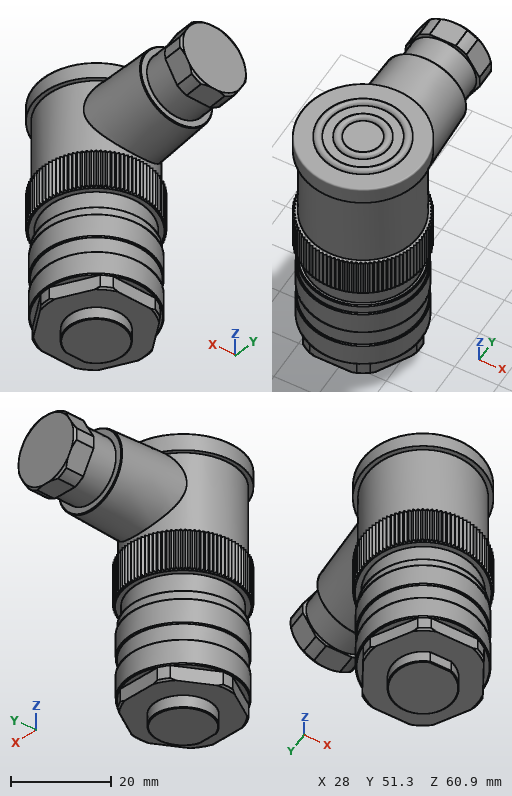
import cadquery as cq
import math

TOTAL_HEIGHT = 60.9
CAP_FACE_Z = 60.2
CAP_BOTTOM_Z = 56.3
KNURL_TOP_Z = 37.6
KNURL_BOTTOM_Z = 28.25
GRIP_TOP_Z = 23.9
UPPER_BAND_TOP_Z = 21.8
GRIP_BAND_HEIGHT = 5.9
GRIP_BAND_PITCH = 9.6
HEX_BOTTOM_Z = 2.9

CAP_RADIUS = 14.0
CAP_EDGE_FILLET = 0.35
TUBE_RADIUS = 13.0
CORE_RADIUS = 10.95

CAP_RING_RADII = (5.05, 9.0)
CAP_RING_HALF_WIDTH = 0.9

KNURL_RADIUS = CAP_RADIUS
KNURL_TEETH = 94
KNURL_DEPTH = 0.5
FIRST_TOOTH_ANGLE = -math.pi / 4
KNURL_CHAMFER = 0.5
NECK_RADIUS = 12.35

ARM_AXIS_Z = 49.15
ARM_END_Y = 25.4
ARM_END_RADIUS = 9.3
ARM_TAPER_DEGREES = 2.2
ARM_CHAMFER = 0.2
GLAND_NECK_RADIUS = 7.7
GLAND_HEX_START_Y = 32.15
GLAND_END_Y = 37.3
GLAND_ACROSS_FLATS = 15.95
GLAND_CORNER_RADIUS = 8.5
GLAND_CHAMFER = 0.5

GRIP_RADIUS = 13.15
GRIP_BAND_RADIUS = 13.45
GRIP_CHAMFER = 0.25
LOWER_HEX_ACROSS_FLATS = 24.0
LOWER_HEX_CORNER_RADIUS = 13.15
LOWER_HEX_CHAMFER = 0.4
SPIGOT_RADIUS = 7.1
SPIGOT_FLAT_Y = -6.7
SPIGOT_CHAMFER = 0.2


def cylinder(radius, bottom_z, top_z):
    """Solid cylinder on the Z axis."""
    return cq.Workplane("XY").workplane(offset=bottom_z).circle(radius).extrude(top_z - bottom_z)


def rounded_hexagon(across_flats, corner_radius, length, chamfer):
    """Hexagonal prism from Z = 0 with flats facing +/-Y, corners turned round and bevelled at Z = 0."""
    corner_diameter = across_flats / math.cos(math.pi / 6)
    prism = cq.Workplane("XY").polygon(6, corner_diameter).extrude(length)
    blank = cq.Workplane("XY").circle(corner_radius).extrude(length).faces("<Z").chamfer(chamfer)
    return prism.intersect(blank)


def cap_ring(radius):
    """Raised ring with an arched cross-section on the cap face."""
    return (
        cq.Workplane("XZ")
        .moveTo(radius - CAP_RING_HALF_WIDTH, CAP_FACE_Z)
        .threePointArc((radius, TOTAL_HEIGHT), (radius + CAP_RING_HALF_WIDTH, CAP_FACE_Z))
        .close()
        .revolve(360, (0, 0, 0), (0, 1, 0))
    )


def cap():
    """Round cap with a rounded upper edge and raised rings."""
    body = cylinder(CAP_RADIUS, CAP_BOTTOM_Z, CAP_FACE_Z).faces(">Z").edges().fillet(CAP_EDGE_FILLET)
    for radius in CAP_RING_RADII:
        body = body.union(cap_ring(radius))
    return body


def knurled_band():
    """Band of V-shaped teeth, bevelled along its lower edge."""
    half_pitch = math.pi / KNURL_TEETH
    points = []
    for tooth in range(KNURL_TEETH):
        tip_angle = FIRST_TOOTH_ANGLE + 2 * half_pitch * tooth
        for radius, angle in ((KNURL_RADIUS, tip_angle), (KNURL_RADIUS - KNURL_DEPTH, tip_angle + half_pitch)):
            points.append((radius * math.cos(angle), radius * math.sin(angle)))
    height = KNURL_TOP_Z - KNURL_BOTTOM_Z
    teeth = cq.Workplane("XY").workplane(offset=KNURL_BOTTOM_Z).polyline(points).close().extrude(height)
    blank = cylinder(KNURL_RADIUS, KNURL_BOTTOM_Z, KNURL_TOP_Z).faces("<Z").chamfer(KNURL_CHAMFER)
    return teeth.intersect(blank)


def side_arm():
    """Tapered arm from the main axis to its +Y end."""
    axis_radius = ARM_END_RADIUS + ARM_END_Y * math.tan(math.radians(ARM_TAPER_DEGREES))
    return (
        cq.Workplane("YZ")
        .polyline([(0, 0), (0, axis_radius), (ARM_END_Y, ARM_END_RADIUS), (ARM_END_Y, 0)])
        .close()
        .revolve(360, (0, 0, 0), (1, 0, 0))
        .faces(">Y")
        .chamfer(ARM_CHAMFER)
        .translate((0, 0, ARM_AXIS_Z))
    )


def cable_gland():
    """Round neck and hexagonal nut on the end of the arm."""
    neck = (
        cq.Workplane("XZ", origin=(0, GLAND_HEX_START_Y, ARM_AXIS_Z))
        .circle(GLAND_NECK_RADIUS)
        .extrude(GLAND_HEX_START_Y - ARM_END_Y)
    )
    nut = rounded_hexagon(
        GLAND_ACROSS_FLATS, GLAND_CORNER_RADIUS, GLAND_END_Y - GLAND_HEX_START_Y, GLAND_CHAMFER
    )
    nut = nut.rotate((0, 0, 0), (1, 0, 0), 90).translate((0, GLAND_END_Y, ARM_AXIS_Z))
    return neck.union(nut)


def grip_band(top_z):
    """Raised band around the grip sleeve, bevelled along both edges."""
    band = cylinder(GRIP_BAND_RADIUS, top_z - GRIP_BAND_HEIGHT, top_z)
    return band.faces("<Z or >Z").chamfer(GRIP_CHAMFER)


def spigot():
    """Round spigot with a keying flat on its -Y side."""
    body = cylinder(SPIGOT_RADIUS, 0, HEX_BOTTOM_Z)
    beyond_flat = cq.Workplane("XY").box(
        2 * SPIGOT_RADIUS, SPIGOT_RADIUS, HEX_BOTTOM_Z, centered=(True, False, False)
    ).translate((0, SPIGOT_FLAT_Y - SPIGOT_RADIUS, 0))
    return body.cut(beyond_flat).faces("<Z").chamfer(SPIGOT_CHAMFER)


def grip_sleeve():
    """Round sleeve with two grip bands and a hexagon below them."""
    lower_band_top = UPPER_BAND_TOP_Z - GRIP_BAND_PITCH
    hex_top = lower_band_top - GRIP_BAND_HEIGHT
    hexagon = rounded_hexagon(
        LOWER_HEX_ACROSS_FLATS, LOWER_HEX_CORNER_RADIUS, hex_top - HEX_BOTTOM_Z, LOWER_HEX_CHAMFER
    ).translate((0, 0, HEX_BOTTOM_Z))
    sleeve = cylinder(GRIP_RADIUS, lower_band_top - GRIP_CHAMFER, GRIP_TOP_Z)
    sleeve = sleeve.faces(">Z").chamfer(GRIP_CHAMFER)
    for top_z in (UPPER_BAND_TOP_Z, lower_band_top):
        sleeve = sleeve.union(grip_band(top_z))
    return sleeve.union(hexagon)


def make_housing():
    """Elbow housing: cap, tube, side arm and gland above a core that leads down to the grip sleeve."""
    return (
        cylinder(TUBE_RADIUS, KNURL_TOP_Z, CAP_BOTTOM_Z)
        .union(cylinder(CORE_RADIUS, GRIP_TOP_Z, KNURL_TOP_Z))
        .union(side_arm())
        .union(cap())
        .union(cable_gland())
        .union(grip_sleeve())
        .union(spigot())
    )


def make_knurled_collar():
    """Knurled collar with a smooth neck, fitted around the core of the housing."""
    neck = cylinder(NECK_RADIUS, GRIP_TOP_Z, KNURL_BOTTOM_Z)
    bore = cylinder(CORE_RADIUS, GRIP_TOP_Z, KNURL_TOP_Z)
    return knurled_band().union(neck).cut(bore)


housing = make_housing()
knurled_collar = make_knurled_collar()
result = cq.Compound.makeCompound([housing.val(), knurled_collar.val()])